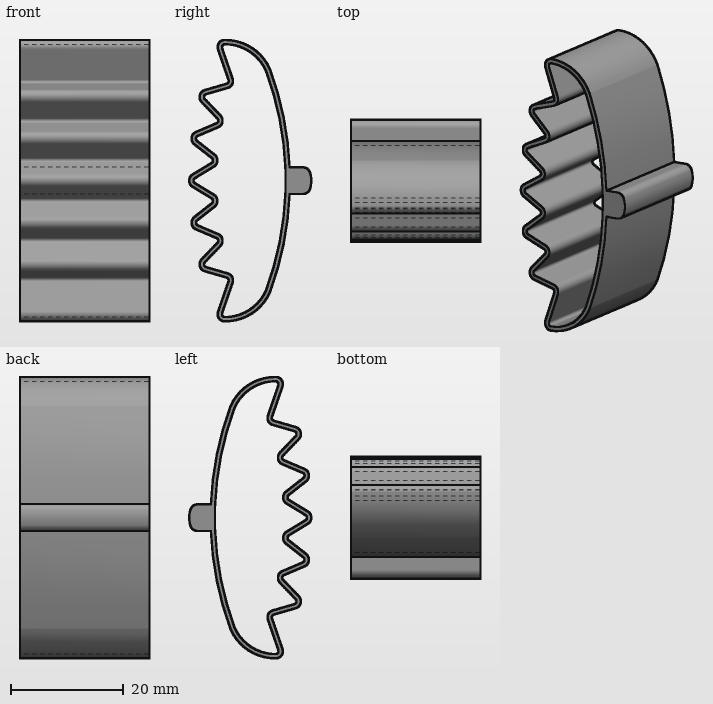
import cadquery as cq

width = 23.0
height = 50.0
wall = 0.8
bend_radius = 0.9

back_y = -wall / 2
top_z = (height - wall) / 2
shoulder_start = (-3.9, 19.6)
shoulder_peak = (-11.4, top_z)

upper_corners = [
    (-12.8, 24.5),
    (-10.25, 17.1),
    (-16.45, 15.3),
    (-11.7, 10.35),
    (-17.95, 7.7),
    (-12.6, 3.5),
]
middle_tooth = (-18.35, 0.0)

rib_height = 4.8
rib_reach = 3.8
rib_crown = 0.65
rib_corner_radius = 1.4


def mirrored(point):
    """Point reflected across the mid height plane."""
    y, z = point
    return (y, -z)


def centreline_loop():
    """Closed wall centreline, with every zigzag corner rounded."""
    loop = cq.Workplane("YZ").moveTo(*upper_corners[0])
    lower_corners = [mirrored(point) for point in reversed(upper_corners)]
    corners = upper_corners + [middle_tooth] + lower_corners
    for point in corners[1:]:
        loop = loop.lineTo(*point)
    loop = (
        loop.threePointArc(mirrored(shoulder_peak), mirrored(shoulder_start))
        .threePointArc((back_y, 0), shoulder_start)
        .threePointArc(shoulder_peak, upper_corners[0])
        .close()
    )
    block = loop.extrude(width)
    selector = None
    reach = wall / 4
    for y, z in corners:
        box = cq.selectors.BoxSelector((0, y - reach, z - reach), (width, y + reach, z + reach))
        selector = box if selector is None else selector + box
    rounded = block.edges("|X").edges(selector).fillet(bend_radius)
    return rounded.faces("<X").wires().val()


def offset_block(loop, distance):
    """Full-width block bounded by the loop moved outward by distance."""
    return cq.Workplane("YZ").add(loop).toPending().offset2D(distance).extrude(width)


def make_band():
    """Hollow band with even wall thickness about the centreline."""
    loop = centreline_loop()
    return offset_block(loop, wall / 2).cut(offset_block(loop, -wall / 2))


def make_rib():
    """Bar with a crowned outer face, rooted in the back wall."""
    half = rib_height / 2
    edge_y = rib_reach - rib_crown
    rib = (
        cq.Workplane("YZ")
        .moveTo(back_y, -half)
        .lineTo(edge_y, -half)
        .threePointArc((rib_reach, 0), (edge_y, half))
        .lineTo(back_y, half)
        .close()
        .extrude(width)
    )
    outer_edges = cq.selectors.BoxSelector((0, edge_y - wall / 4, -half - wall), (width, rib_reach, half + wall))
    return rib.edges("|X").edges(outer_edges).fillet(rib_corner_radius)


result = make_band().union(make_rib())